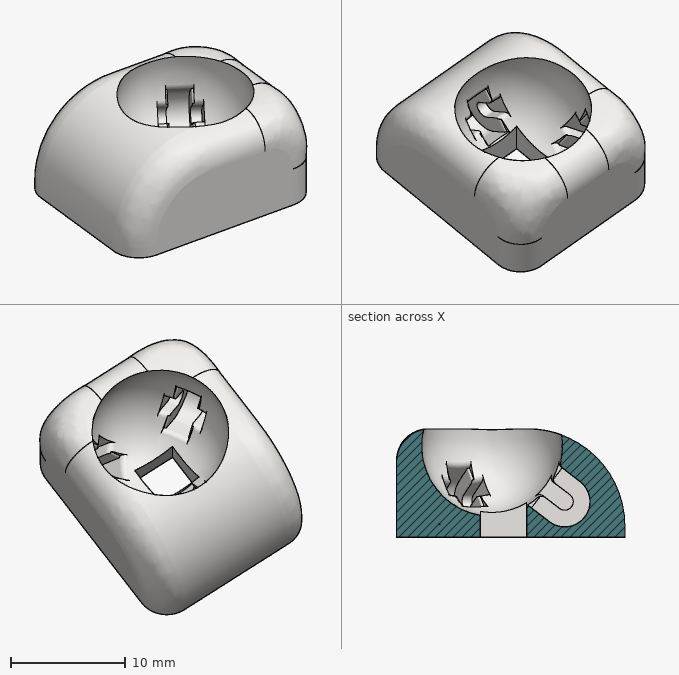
import cadquery as cq
import math

WIDTH = 16.5
LENGTH = 20.0
HEIGHT = 9.5
FRONT_RADIUS = 8.5
TOP_ROUND = 2.9
WALL_ROUND = 2.68
CORNER_SETBACK = 2 * TOP_ROUND
SIDE_SETBACK = 5.7
CORNER_INSET = 1.52
OVERCUT = 0.5

SEAT_RADIUS = 6.15
SEAT_Y = 1.63
SEAT_Z = 8.0
SEAT_CENTER = (0, SEAT_Y, SEAT_Z)
WINDOW_SIZE = 4.03
WINDOW_SHIFT = 1.0
WINDOW_Y = SEAT_Y - WINDOW_SHIFT

POCKET_COUNT = 3
FRONT_AZIMUTH = 0
POCKET_TILT = 52.5
AXLE_DISTANCE = 8.0
ROLLER_RADIUS = 2.2
ROLLER_WIDTH = 2.14
PIN_RADIUS = 0.75
PIN_LENGTH = 4.1
MOUTH_ROUND = 0.5
SIDE_FLARE = 0.17
POCKET_START = 3.0

half_width = WIDTH / 2
front_y = -LENGTH / 2
rear_y = LENGTH / 2
front_arc_y = front_y + FRONT_RADIUS
front_arc_z = HEIGHT - FRONT_RADIUS
DIAGONAL = math.sqrt(0.5)


def front_half():
    """Front of the body; its side rounds grow from WALL_ROUND at the foot to TOP_ROUND at the top."""
    profile = (
        cq.Workplane("YZ")
        .moveTo(front_y, 0)
        .lineTo(front_y, front_arc_z)
        .threePointArc(
            (front_arc_y - FRONT_RADIUS * DIAGONAL, front_arc_z + FRONT_RADIUS * DIAGONAL),
            (front_arc_y, HEIGHT),
        )
        .lineTo(front_arc_y, 0)
        .close()
    )
    blank = profile.extrude(half_width, both=True)
    builder = cq.occ_impl.shapes.BRepFilletAPI_MakeFillet(blank.val().wrapped)
    side_edges = blank.faces("<X or >X").edges("%CIRCLE").vals()
    for edge in side_edges:
        builder.Add(edge.wrapped)
    for edge in side_edges:
        contour = builder.Contour(edge.wrapped)
        for index in range(1, builder.NbEdges(contour) + 1):
            chained = cq.Shape.cast(builder.Edge(contour, index))
            if chained.geomType() == "CIRCLE":
                builder.SetRadius(WALL_ROUND, TOP_ROUND, contour, index)
            else:
                builder.SetRadius(WALL_ROUND, WALL_ROUND, contour, index)
    return cq.Workplane(cq.Shape.cast(builder.Shape()))


def rear_half():
    """Square-edged rear of the body."""
    rear_length = rear_y - front_arc_y
    return (
        cq.Workplane()
        .box(WIDTH, rear_length, HEIGHT, centered=(True, False, False))
        .translate((0, front_arc_y, 0))
    )


def edge_section(plane, radius):
    """Waste outside a round; the plane's axes point from the sharp edge into the body."""
    return (
        cq.Workplane(plane)
        .moveTo(-OVERCUT, -OVERCUT)
        .lineTo(radius, -OVERCUT)
        .lineTo(radius, 0)
        .threePointArc((radius * (1 - DIAGONAL), radius * (1 - DIAGONAL)), (0, radius))
        .lineTo(-OVERCUT, radius)
        .close()
    )


def left_straight_rounds():
    """Waste along the left top edge and the left rear upright corner."""
    top_plane = cq.Plane((-half_width, front_arc_y, HEIGHT), (1, 0, 0), (0, 1, 0))
    top = edge_section(top_plane, TOP_ROUND).extrude(rear_y - SIDE_SETBACK - front_arc_y)
    wall_plane = cq.Plane((-half_width, rear_y, 0), (0, -1, 0), (0, 0, 1))
    wall = edge_section(wall_plane, WALL_ROUND).extrude(HEIGHT - CORNER_SETBACK)
    return [top.val(), wall.val()]


def rear_top_round():
    """Waste along the rear top edge between the two corner blends."""
    length = WIDTH - 2 * CORNER_SETBACK
    plane = cq.Plane((-length / 2, rear_y, HEIGHT), (0, -1, 0), (1, 0, 0))
    return edge_section(plane, TOP_ROUND).extrude(length).val()


def left_corner_blend():
    """Waste outside the smooth six-sided blend at the left rear top corner.

    Worked out in distances (x, y, z) measured from the corner into the body.
    """
    reach = CORNER_SETBACK
    side_reach = SIDE_SETBACK
    top = TOP_ROUND
    wall = WALL_ROUND

    def place(x, y, z):
        return cq.Vector(x - half_width, rear_y - y, HEIGHT - z)

    def curve(start, corner, end):
        """Quarter ellipse from start to end, tangent to the lines that meet at corner."""
        middle = [
            c + (1 - DIAGONAL) * ((s - c) + (e - c)) for s, c, e in zip(start, corner, end)
        ]
        tangents = [
            place(*corner) - place(*start),
            place(*end) - place(*corner),
        ]
        return cq.Edge.makeSpline(
            [place(*start), place(*middle), place(*end)], tangents=tangents
        )

    ends = [
        [(reach, top, 0), (reach, 0, 0), (reach, 0, top)],
        [(wall, 0, reach), (0, 0, reach), (0, wall, reach)],
        [(0, side_reach, top), (0, side_reach, 0), (top, side_reach, 0)],
    ]
    inner_corners = [(wall, 0, top), (0, wall, top), (top, top, 0)]

    boundary = []
    faces = []
    for index, end in enumerate(ends):
        following = ends[(index + 1) % len(ends)]
        round_curve = curve(*end)
        wall_curve = curve(end[2], inner_corners[index], following[0])
        boundary += [round_curve, wall_curve]
        start, sharp, finish = [place(*point) for point in end]
        next_start, next_sharp = [place(*point) for point in following[:2]]
        round_loop = [
            round_curve,
            cq.Edge.makeLine(finish, sharp),
            cq.Edge.makeLine(sharp, start),
        ]
        wall_loop = [
            wall_curve,
            cq.Edge.makeLine(next_start, next_sharp),
            cq.Edge.makeLine(next_sharp, place(0, 0, 0)),
            cq.Edge.makeLine(place(0, 0, 0), sharp),
            cq.Edge.makeLine(sharp, finish),
        ]
        for loop in (round_loop, wall_loop):
            faces.append(cq.Face.makeFromWires(cq.Wire.assembleEdges(loop)))

    blend_middle = place(CORNER_INSET, CORNER_INSET, CORNER_INSET)
    faces.append(cq.Face.makeNSidedSurface(boundary, [blend_middle]))
    return cq.Solid.makeSolid(cq.Shell.makeShell(faces))


def both_sides(solid):
    return [solid, solid.mirror("YZ")]


def rounded_body():
    body = rear_half().cut(cq.Workplane(rear_top_round()))
    left_waste = left_straight_rounds() + [left_corner_blend()]
    for waste in left_waste:
        for solid in both_sides(waste):
            body = body.cut(cq.Workplane(solid))
    return front_half().union(body)


def ball_seat(body):
    seat = cq.Workplane().sphere(SEAT_RADIUS).translate(SEAT_CENTER)
    window = (
        cq.Workplane(origin=(0, WINDOW_Y, 0))
        .rect(WINDOW_SIZE, WINDOW_SIZE)
        .extrude(HEIGHT)
    )
    return body.cut(seat).cut(window)


def round_floor_slot(radius, width):
    """Slot for a cylinder lying along X at the axle's distance, open toward the origin."""
    section = (
        cq.Workplane("YZ")
        .moveTo(-radius, POCKET_START)
        .lineTo(radius, POCKET_START)
        .lineTo(radius, AXLE_DISTANCE)
        .threePointArc((0, AXLE_DISTANCE + radius), (-radius, AXLE_DISTANCE))
        .close()
    )
    return section.extrude(width / 2, both=True)


def flared_side_walls():
    """Space between the roller's two side walls, which flare out where they reach the seat."""
    wall_x = ROLLER_WIDTH / 2
    lip_x = wall_x + SIDE_FLARE
    lip_z = math.sqrt((SEAT_RADIUS + SIDE_FLARE) ** 2 - lip_x ** 2)
    bend = SIDE_FLARE * DIAGONAL
    depth = AXLE_DISTANCE + ROLLER_RADIUS + OVERCUT
    section = (
        cq.Workplane("XZ")
        .moveTo(-wall_x, depth)
        .lineTo(-wall_x, lip_z)
        .threePointArc((bend - lip_x, lip_z - bend), (-lip_x, lip_z - SIDE_FLARE))
        .lineTo(-lip_x, POCKET_START)
        .lineTo(lip_x, POCKET_START)
        .lineTo(lip_x, lip_z - SIDE_FLARE)
        .threePointArc((lip_x - bend, lip_z - bend), (wall_x, lip_z))
        .lineTo(wall_x, depth)
        .close()
    )
    return section.extrude(2 * ROLLER_RADIUS, both=True)


def aim_pocket(shape, azimuth):
    """Turn a shape built along +Z onto a pocket's axis and move it to the seat."""
    return (
        shape.rotate((0, 0, 0), (1, 0, 0), 180 - POCKET_TILT)
        .rotate((0, 0, 0), (0, 0, 1), azimuth)
        .translate(SEAT_CENTER)
    )


def roller_pocket(azimuth):
    """Slot for one roller and its axle pin."""
    open_width = ROLLER_WIDTH + 2 * SIDE_FLARE
    roller = round_floor_slot(ROLLER_RADIUS, open_width).intersect(flared_side_walls())
    pin = round_floor_slot(PIN_RADIUS, PIN_LENGTH)
    return aim_pocket(roller.union(pin), azimuth)


def mouth_edges(body, azimuth, with_lower_lip):
    """Edges along the axle direction where a pocket's upper and lower walls meet the seat."""
    pin_x = (ROLLER_WIDTH / 2 + SIDE_FLARE + PIN_LENGTH / 2) / 2
    spots = [(x, y) for x in (-pin_x, pin_x) for y in (-PIN_RADIUS, PIN_RADIUS)]
    spots.append((0, ROLLER_RADIUS))
    if with_lower_lip:
        spots.append((0, -ROLLER_RADIUS))
    edges = []
    for x, y in spots:
        spot = cq.Vertex.makeVertex(x, y, math.sqrt(SEAT_RADIUS ** 2 - x ** 2 - y ** 2))
        target = aim_pocket(spot, azimuth).toTuple()
        edges.append(body.edges(cq.NearestToPointSelector(target)).val())
    return edges


def roller_pockets(body):
    azimuths = [number * 360 / POCKET_COUNT for number in range(POCKET_COUNT)]
    for azimuth in azimuths:
        body = body.cut(roller_pocket(azimuth))
    lips = []
    for azimuth in azimuths:
        lips += mouth_edges(body, azimuth, azimuth != FRONT_AZIMUTH)
    return body.newObject(lips).fillet(MOUTH_ROUND)


result = roller_pockets(ball_seat(rounded_body()))